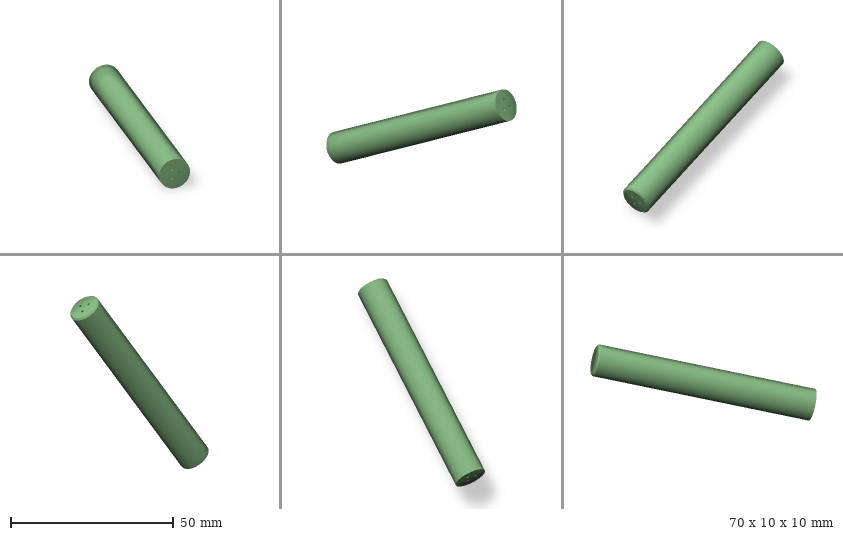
import cadquery as cq

rod_length = 70.0
rod_diameter = 10.0
chamfer_size = 0.5

channel_count = 3
channel_diameter = 0.85
channel_circle_radius = 1.75
channel_pitch = 37.45
first_channel_angle = 46.0


def make_rod():
    rod = cq.Workplane("YZ").circle(rod_diameter / 2).extrude(rod_length)
    return rod.faces("<X").chamfer(chamfer_size)


def make_channels():
    """Round sections on a circle about the axis, twisted along the full length."""
    twist_angle = 360.0 * rod_length / channel_pitch
    return (
        cq.Workplane("YZ")
        .polarArray(channel_circle_radius, first_channel_angle, 360.0, channel_count)
        .circle(channel_diameter / 2)
        .twistExtrude(rod_length, twist_angle)
    )


result = make_rod().cut(make_channels())